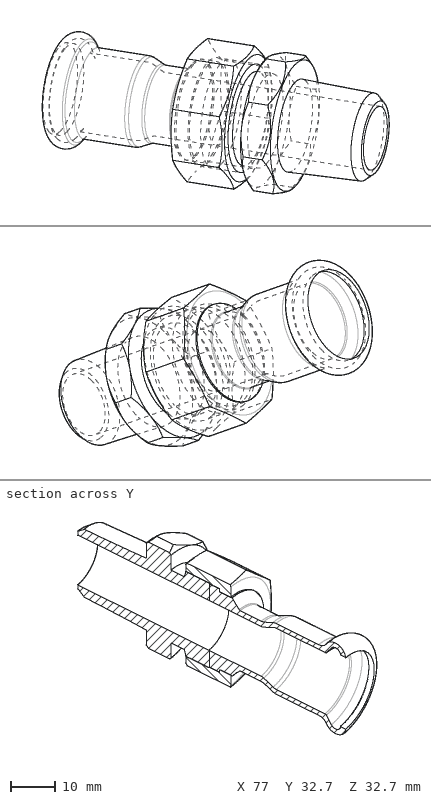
import cadquery as cq
import math

LENGTH = 77.0
BORE_R = 7.3

WALL = 1.55
BEAD_RADIUS = 2.9
BEAD_CENTRE_R = 10.55
BEAD_SLOPE = 56.0
BEAD_BLEND = 2.3
MOUTH_BLEND = 0.5
SOCKET_R = 10.55
NECK_R = 9.0
REDUCTION_X = 20.4
REDUCTION_END_X = 23.9
REDUCTION_TOP_BLEND = 2.15
REDUCTION_FOOT_BLEND = 1.6
SHOULDER_X = 30.4
SHOULDER_BLEND = 0.4
COLLAR_X = 32.6
COLLAR_R = 11.6
FLANGE_X = 36.2

NUT_X = 32.95
NUT_END_X = 46.0
NUT_FLATS = 30.4
NUT_FACE_R = 14.6
NUT_FRONT_CHAMFER = 0.55
NUT_BACK_CHAMFER = 1.1

JOINT_X = 39.3
UNION_THREAD_R = 12.5
RUNOUT_LENGTH = 0.5
ADAPTER_COLLAR_R = 10.85
OCTAGON_X = 50.1
OCTAGON_END_X = 57.4
OCTAGON_FLATS = 30.5
OCTAGON_TURN = 7.5
OCTAGON_FRONT_FACE_R = 15.25
OCTAGON_FRONT_CHAMFER = 1.1
OCTAGON_BACK_FACE_R = 15.1
OCTAGON_BACK_CHAMFER = 1.5
PIPE_THREAD_R = 10.7
PIPE_CHAMFER_X = 75.1
PIPE_TIP_R = 8.55
PIPE_THREAD_TAPER = 1 / 16

SIDES = 8
HALF_SIDE_ANGLE = 180 / SIDES


def add_corner(outline, corner, following, radius):
    """Draw a line to a rounded corner, then the arc that turns toward the following point."""
    before = outline.val().endPoint()
    corner = cq.Vector(*corner)
    back = (before - corner).normalized()
    ahead = (cq.Vector(*following) - corner).normalized()
    half_angle = back.getAngle(ahead) / 2
    setback = radius / math.tan(half_angle)
    arc_depth = radius / math.sin(half_angle) - radius
    start = corner + back * setback
    middle = corner + (back + ahead).normalized() * arc_depth
    end = corner + ahead * setback
    return outline.lineTo(start.x, start.y).threePointArc((middle.x, middle.y), (end.x, end.y))


def revolve_about_x(outline):
    return outline.close().revolve(360, (0, 0, 0), (1, 0, 0))


def bead_point(radius, angle):
    """Point of the bead section at an angle in degrees from the radial direction, positive along X."""
    turn = math.radians(angle)
    return (BEAD_RADIUS + radius * math.sin(turn), BEAD_CENTRE_R + radius * math.cos(turn))


def flank_foot(radius, tube_r):
    """Point where the straight flank behind the bead, extended, meets the tube radius."""
    flank_x, flank_r = bead_point(radius, BEAD_SLOPE)
    return (flank_x + (flank_r - tube_r) / math.tan(math.radians(BEAD_SLOPE)), tube_r)


def make_press_socket():
    groove_radius = BEAD_RADIUS - WALL
    socket_bore_r = SOCKET_R - WALL
    bead_middle_angle = (BEAD_SLOPE - 90) / 2
    top, foot = (REDUCTION_X, SOCKET_R), (REDUCTION_END_X, NECK_R)
    bore_top, bore_foot = (REDUCTION_X, socket_bore_r), (REDUCTION_END_X, BORE_R)
    shoulder, collar = (SHOULDER_X, NECK_R), (COLLAR_X, COLLAR_R)
    mouth = flank_foot(groove_radius, socket_bore_r)
    groove_end = bead_point(groove_radius, BEAD_SLOPE)

    outline = (
        cq.Workplane("XY")
        .moveTo(*bead_point(BEAD_RADIUS, -90))
        .threePointArc(bead_point(BEAD_RADIUS, bead_middle_angle), bead_point(BEAD_RADIUS, BEAD_SLOPE))
    )
    outline = add_corner(outline, flank_foot(BEAD_RADIUS, SOCKET_R), top, BEAD_BLEND)
    outline = add_corner(outline, top, foot, REDUCTION_TOP_BLEND)
    outline = add_corner(outline, foot, shoulder, REDUCTION_FOOT_BLEND)
    outline = add_corner(outline, shoulder, collar, SHOULDER_BLEND)
    outline = (
        outline.lineTo(*collar)
        .lineTo(FLANGE_X, COLLAR_R)
        .lineTo(FLANGE_X, UNION_THREAD_R)
        .lineTo(JOINT_X, UNION_THREAD_R)
        .lineTo(JOINT_X, BORE_R)
    )

    outline = add_corner(outline, bore_foot, bore_top, REDUCTION_FOOT_BLEND)
    outline = add_corner(outline, bore_top, mouth, REDUCTION_TOP_BLEND)
    outline = add_corner(outline, mouth, groove_end, MOUTH_BLEND)
    outline = outline.lineTo(*groove_end).threePointArc(
        bead_point(groove_radius, bead_middle_angle), bead_point(groove_radius, -90)
    )
    return revolve_about_x(outline)


def make_bore(start_x, end_x, radius):
    return cq.Workplane("YZ", origin=(start_x, 0, 0)).circle(radius).extrude(end_x - start_x)


def make_octagon(start_x, end_x, flats, turn, front, back):
    """Octagonal prism with conical corner chamfers; front and back are (face radius, chamfer length)."""
    corner_r = flats / 2 / math.cos(math.radians(HALF_SIDE_ANGLE))
    prism = (
        cq.Workplane("YZ", origin=(start_x, 0, 0))
        .transformed(rotate=(0, 0, turn))
        .polygon(SIDES, 2 * corner_r)
        .extrude(end_x - start_x)
    )
    front_r, front_chamfer = front
    back_r, back_chamfer = back
    envelope = (
        cq.Workplane("XY")
        .moveTo(start_x, 0)
        .lineTo(start_x, front_r)
        .lineTo(start_x + front_chamfer, corner_r)
        .lineTo(end_x - back_chamfer, corner_r)
        .lineTo(end_x, back_r)
        .lineTo(end_x, 0)
    )
    return prism.intersect(revolve_about_x(envelope))


def make_union_nut():
    front = (NUT_FACE_R, NUT_FRONT_CHAMFER)
    back = (NUT_FACE_R, NUT_BACK_CHAMFER)
    body = make_octagon(NUT_X, NUT_END_X, NUT_FLATS, HALF_SIDE_ANGLE, front, back)
    collar_hole = make_bore(NUT_X, NUT_END_X, COLLAR_R)
    thread_hole = make_bore(FLANGE_X, NUT_END_X, UNION_THREAD_R)
    return body.cut(collar_hole).cut(thread_hole)


def make_adapter():
    pipe_chamfer_r = PIPE_THREAD_R - (PIPE_CHAMFER_X - OCTAGON_END_X) * PIPE_THREAD_TAPER / 2
    barrel = revolve_about_x(
        cq.Workplane("XY")
        .moveTo(JOINT_X, 0)
        .lineTo(JOINT_X, UNION_THREAD_R)
        .lineTo(NUT_END_X, UNION_THREAD_R)
        .lineTo(NUT_END_X + RUNOUT_LENGTH, ADAPTER_COLLAR_R)
        .lineTo(OCTAGON_END_X, ADAPTER_COLLAR_R)
        .lineTo(OCTAGON_END_X, PIPE_THREAD_R)
        .lineTo(PIPE_CHAMFER_X, pipe_chamfer_r)
        .lineTo(LENGTH, PIPE_TIP_R)
        .lineTo(LENGTH, 0)
    )
    front = (OCTAGON_FRONT_FACE_R, OCTAGON_FRONT_CHAMFER)
    back = (OCTAGON_BACK_FACE_R, OCTAGON_BACK_CHAMFER)
    octagon = make_octagon(OCTAGON_X, OCTAGON_END_X, OCTAGON_FLATS, OCTAGON_TURN, front, back)
    bore = make_bore(JOINT_X, LENGTH, BORE_R)
    return barrel.union(octagon).cut(bore)


press_socket = make_press_socket()
union_nut = make_union_nut()
adapter = make_adapter()

result = cq.Compound.makeCompound([press_socket.val(), union_nut.val(), adapter.val()])